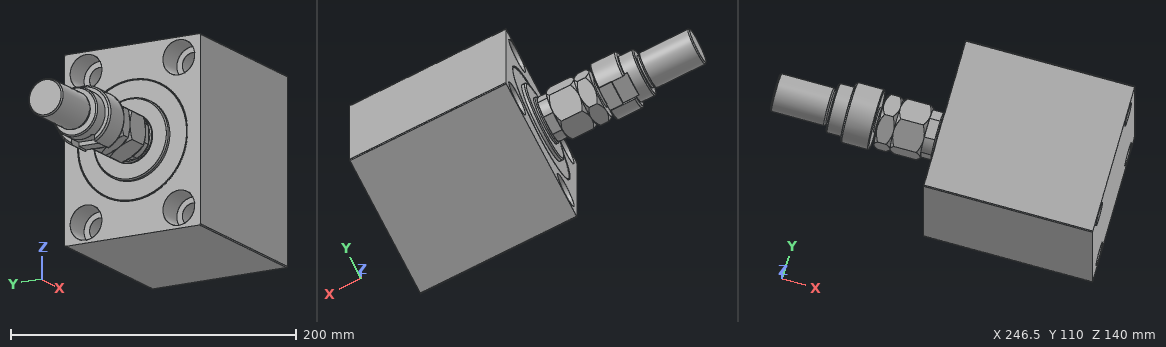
import cadquery as cq
import math

TOTAL_LENGTH = 246.5

BLOCK_LENGTH = 123.2
BLOCK_WIDTH = 110.0
BLOCK_HEIGHT = 140.0
BLOCK_EDGE_CHAMFER = 0.7
BLOCK_FACE_X = TOTAL_LENGTH - BLOCK_LENGTH

BOLT_SPACING_Y = 75.0
BOLT_SPACING_Z = 110.0
BOLT_HOLE_RADIUS = 8.5
COUNTERBORE_RADIUS = 12.8
COUNTERBORE_DEPTH = 19.7

GLAND_RADIUS = 44.4
GLAND_DEPTH = 19.7
GLAND_RECESS = 0.2
GLAND_FACE_X = BLOCK_FACE_X + GLAND_RECESS
GLAND_CHAMFER = 0.7
GLAND_COLLAR_RADIUS = 30.0
GLAND_COLLAR_HEIGHT = 3.0
GLAND_COLLAR_CHAMFER = 1.0
GLAND_COLLAR_X = BLOCK_FACE_X - GLAND_COLLAR_HEIGHT

HEX_ACROSS_FLATS = 36.0
HEX_SIDES = 6
CORNER_UP_ANGLE = 90.0
HEX_HALF_ANGLE = 180 / HEX_SIDES
NUT_X = 76.7
NUT_LENGTH = 11.8
ROD_HEX_X = NUT_X + NUT_LENGTH
ROD_HEX_LENGTH = 22.0

ROD_RADIUS = 18.0
ROD_CHAMFER = 1.0
ROD_SHOULDER_X = 118.0
ROD_END_X = BLOCK_FACE_X + GLAND_DEPTH
ROD_NECK_RADIUS = 17.5
ROD_NECK_ACROSS_FLATS = 32.0
ROD_NECK_X = ROD_HEX_X + ROD_HEX_LENGTH

STUD_TIP_RADIUS = 13.8
STUD_TIP_LENGTH = 39.0
STUD_TIP_CHAMFER = 1.0
RELIEF_RADIUS = 12.5
FLANGE_X = 41.7
FLANGE_RADIUS = 18.0
FLANGE_CHAMFER = 1.0
HEAD_X = 53.2
HEAD_END_X = 74.0
HEAD_RADIUS = 22.0
HEAD_FRONT_CHAMFER = 1.2
HEAD_BACK_CHAMFER = 0.7
NECK_RADIUS = 8.9
THREAD_RADIUS = 12.0
THREAD_X = 75.2
THREAD_END_X = ROD_NECK_X

SLOT_WIDTH = 18.5
SLOT_FLOOR_Z = -18.5
SLOT_POCKET_X = 51.0
SLOT_POCKET_FLOOR_Z = -15.5
SLOT_POCKET_END_X = (HEAD_X + HEAD_END_X) / 2


def cylinder(start_x, end_x, radius):
    """Cylinder about the X axis from start_x to end_x."""
    return cq.Workplane("YZ").workplane(offset=start_x).circle(radius).extrude(end_x - start_x)


def revolve_about_x(profile):
    """Solid of revolution about the X axis from (x, radius) points that start and end on the axis."""
    return cq.Workplane("XY").polyline(profile).close().revolve(360, (0, 0, 0), (1, 0, 0))


def hexagon_prism(start_x, length):
    """Hexagonal prism along X with corners up and down and both ends chamfered on a cone."""
    flat_radius = HEX_ACROSS_FLATS / 2
    corner_radius = flat_radius / math.cos(math.radians(HEX_HALF_ANGLE))
    chamfer = corner_radius - flat_radius
    end_x = start_x + length
    prism = (
        cq.Workplane("YZ")
        .workplane(offset=start_x)
        .transformed(rotate=(0, 0, CORNER_UP_ANGLE)).polygon(HEX_SIDES, 2 * corner_radius).extrude(length)
    )
    turned = revolve_about_x([
        (start_x, 0),
        (start_x, flat_radius),
        (start_x + chamfer, corner_radius),
        (end_x - chamfer, corner_radius),
        (end_x, flat_radius),
        (end_x, 0),
    ])
    return prism.intersect(turned)


def make_block():
    """Rectangular block with four counterbored through holes and a recess for gland and rod."""
    block = (
        cq.Workplane("XY").box(BLOCK_LENGTH, BLOCK_WIDTH, BLOCK_HEIGHT)
        .translate((BLOCK_FACE_X + BLOCK_LENGTH / 2, 0, 0))
        .edges("|X").chamfer(BLOCK_EDGE_CHAMFER)
    )
    for y in (-BOLT_SPACING_Y / 2, BOLT_SPACING_Y / 2):
        for z in (-BOLT_SPACING_Z / 2, BOLT_SPACING_Z / 2):
            bolt_hole = cylinder(BLOCK_FACE_X, TOTAL_LENGTH, BOLT_HOLE_RADIUS)
            counterbore = cylinder(BLOCK_FACE_X, BLOCK_FACE_X + COUNTERBORE_DEPTH, COUNTERBORE_RADIUS)
            block = block.cut(bolt_hole.union(counterbore).translate((0, y, z)))
    return block.cut(cylinder(BLOCK_FACE_X, BLOCK_FACE_X + GLAND_DEPTH, GLAND_RADIUS))


def make_gland():
    """Gland disc with its raised collar, bored for the rod."""
    disc = cylinder(GLAND_FACE_X, BLOCK_FACE_X + GLAND_DEPTH, GLAND_RADIUS)
    disc = disc.faces("<X").chamfer(GLAND_CHAMFER)
    collar = cylinder(GLAND_COLLAR_X, GLAND_FACE_X, GLAND_COLLAR_RADIUS)
    collar = collar.faces("<X").chamfer(GLAND_COLLAR_CHAMFER)
    return disc.union(collar).cut(cylinder(GLAND_COLLAR_X, ROD_END_X, ROD_RADIUS))


def make_rod():
    """Piston rod: hexagonal end, neck with four wrench flats and round shank, bored for the stud."""
    shank = cylinder(ROD_SHOULDER_X, ROD_END_X, ROD_RADIUS).faces("<X").chamfer(ROD_CHAMFER)
    neck_length = ROD_SHOULDER_X - ROD_NECK_X
    flats = (
        cq.Workplane("YZ").workplane(offset=ROD_NECK_X)
        .rect(ROD_NECK_ACROSS_FLATS, ROD_NECK_ACROSS_FLATS).extrude(neck_length)
    )
    neck = cylinder(ROD_NECK_X, ROD_SHOULDER_X, ROD_NECK_RADIUS).intersect(flats)
    rod = shank.union(neck).union(hexagon_prism(ROD_HEX_X, ROD_HEX_LENGTH))
    return rod.cut(cylinder(ROD_HEX_X, THREAD_END_X, THREAD_RADIUS))


def make_lock_nut():
    """Thin hexagonal nut on the stud thread, tight against the rod end."""
    return hexagon_prism(NUT_X, NUT_LENGTH).cut(make_stud_blank())


def make_stud_blank():
    """Turned shape of the coupling stud, before its slot is cut."""
    return revolve_about_x([
        (0, 0),
        (0, STUD_TIP_RADIUS - STUD_TIP_CHAMFER),
        (STUD_TIP_CHAMFER, STUD_TIP_RADIUS),
        (STUD_TIP_LENGTH, STUD_TIP_RADIUS),
        (STUD_TIP_LENGTH + STUD_TIP_RADIUS - RELIEF_RADIUS, RELIEF_RADIUS),
        (FLANGE_X, RELIEF_RADIUS),
        (FLANGE_X, FLANGE_RADIUS - FLANGE_CHAMFER),
        (FLANGE_X + FLANGE_CHAMFER, FLANGE_RADIUS),
        (HEAD_X, FLANGE_RADIUS),
        (HEAD_X, HEAD_RADIUS - HEAD_FRONT_CHAMFER),
        (HEAD_X + HEAD_FRONT_CHAMFER, HEAD_RADIUS),
        (HEAD_END_X - HEAD_BACK_CHAMFER, HEAD_RADIUS),
        (HEAD_END_X, HEAD_RADIUS - HEAD_BACK_CHAMFER),
        (HEAD_END_X, NECK_RADIUS),
        (THREAD_X, NECK_RADIUS),
        (THREAD_X + THREAD_RADIUS - NECK_RADIUS, THREAD_RADIUS),
        (THREAD_END_X, THREAD_RADIUS),
        (THREAD_END_X, 0),
    ])


def slot_cutter(start_x, end_x, floor_z):
    """Block that removes the slot width below floor_z between start_x and end_x."""
    depth = HEAD_RADIUS + floor_z
    return (
        cq.Workplane("XY").box(end_x - start_x, SLOT_WIDTH, depth, centered=(False, True, False))
        .translate((start_x, 0, -HEAD_RADIUS))
    )


def make_coupling_stud():
    """Coupling stud with a slot under its head and a deeper pocket at the flange end."""
    head_slot = slot_cutter(HEAD_X, HEAD_END_X, SLOT_FLOOR_Z)
    pocket = slot_cutter(SLOT_POCKET_X, SLOT_POCKET_END_X, SLOT_POCKET_FLOOR_Z)
    return make_stud_blank().cut(head_slot).cut(pocket)


block = make_block()
gland = make_gland()
rod = make_rod()
lock_nut = make_lock_nut()
coupling_stud = make_coupling_stud()

result = cq.Compound.makeCompound([
    block.val(),
    gland.val(),
    rod.val(),
    lock_nut.val(),
    coupling_stud.val(),
])